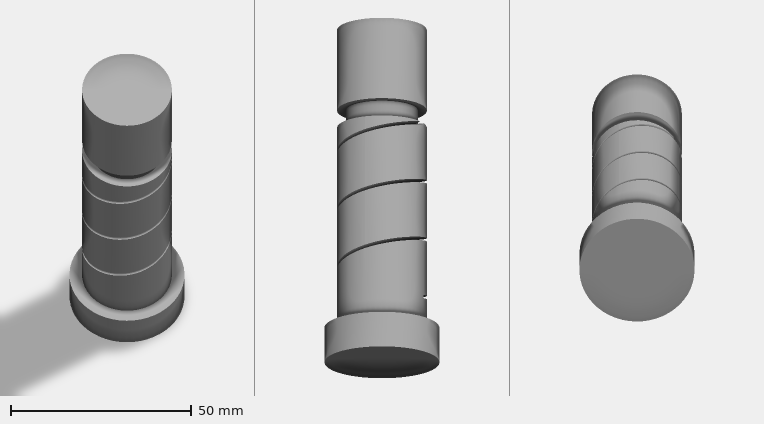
import cadquery as cq

total_height = 96.0
head_diameter = 32.0
head_height = 10.0
shank_diameter = 25.0
neck_diameter = 20.0
neck_height = 5.0
top_height = 23.2

groove_pitch = 16.7
groove_turns = 3
groove_width = 1.0
groove_depth = 2.5
groove_clearance = 0.2
groove_start_angle = 90.0

shank_radius = shank_diameter / 2
neck_top = total_height - top_height
neck_bottom = neck_top - neck_height
groove_length = groove_pitch * groove_turns
groove_start = neck_bottom - groove_length


def cylinder(diameter, bottom, top):
    return cq.Workplane("XY").workplane(offset=bottom).circle(diameter / 2).extrude(top - bottom)


def groove_cutter():
    """Triangular profile swept along a helix; its sides meet the shank groove_width apart."""
    outer_half_width = groove_width / 2 * (groove_depth + groove_clearance) / groove_depth
    outer_radius = shank_radius + groove_clearance
    path = cq.Workplane(obj=cq.Wire.makeHelix(groove_pitch, groove_length, shank_radius))
    cutter = (
        cq.Workplane("XZ")
        .moveTo(shank_radius - groove_depth, 0)
        .lineTo(outer_radius, outer_half_width)
        .lineTo(outer_radius, -outer_half_width)
        .close()
        .sweep(path, isFrenet=True)
    )
    return cutter.rotate((0, 0, 0), (0, 0, 1), groove_start_angle).translate((0, 0, groove_start))


head = cylinder(head_diameter, 0, head_height)
shank = cylinder(shank_diameter, head_height, neck_bottom).cut(groove_cutter())
neck = cylinder(neck_diameter, neck_bottom, neck_top)
top = cylinder(shank_diameter, neck_top, total_height)

result = head.union(shank).union(neck).union(top)